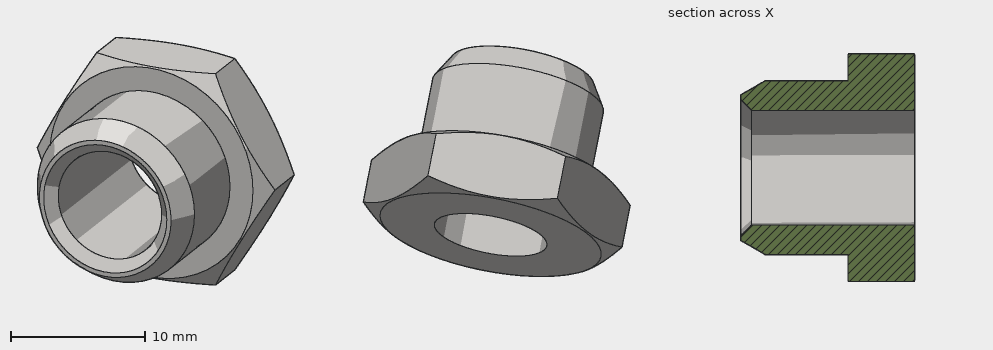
import cadquery as cq
import math

corner_width = 19.63
head_height = 5.0
total_length = 13.0
shank_diameter = 13.0
tip_diameter = 10.88
bore_diameter = 8.54
bore_mouth_diameter = 10.17
head_face_diameter = 16.78
head_chamfer_angle = math.radians(30)
tip_chamfer_angle = math.radians(30)
bore_chamfer_angle = math.radians(45)

corner_radius = corner_width / 2
head_chamfer_height = (corner_radius - head_face_diameter / 2) * math.tan(head_chamfer_angle)
tip_chamfer_length = (shank_diameter - tip_diameter) / 2 / math.tan(tip_chamfer_angle)
bore_chamfer_depth = (bore_mouth_diameter - bore_diameter) / 2 / math.tan(bore_chamfer_angle)
shank_end = head_height - total_length


def revolve_profile(points):
    """Revolve (radius, y) points around the Y axis."""
    return cq.Workplane("XY").polyline(points).close().revolve(360, (0, 0, 0), (0, 1, 0))


def make_head():
    """Hexagonal head with both faces chamfered by a cone."""
    hexagon = cq.Workplane("XZ").polygon(6, corner_width).extrude(-head_height)
    envelope = revolve_profile([
        (0, 0),
        (head_face_diameter / 2, 0),
        (corner_radius, head_chamfer_height),
        (corner_radius, head_height - head_chamfer_height),
        (head_face_diameter / 2, head_height),
        (0, head_height),
    ])
    return hexagon.intersect(envelope)


def make_shank():
    """Round shank with a tapered tip, reaching into the head."""
    return revolve_profile([
        (0, shank_end),
        (tip_diameter / 2, shank_end),
        (shank_diameter / 2, shank_end + tip_chamfer_length),
        (shank_diameter / 2, head_height / 2),
        (0, head_height / 2),
    ])


def make_bore():
    """Through bore with a conical mouth at the shank tip."""
    return revolve_profile([
        (0, shank_end),
        (bore_mouth_diameter / 2, shank_end),
        (bore_diameter / 2, shank_end + bore_chamfer_depth),
        (bore_diameter / 2, head_height),
        (0, head_height),
    ])


result = make_head().union(make_shank()).cut(make_bore())